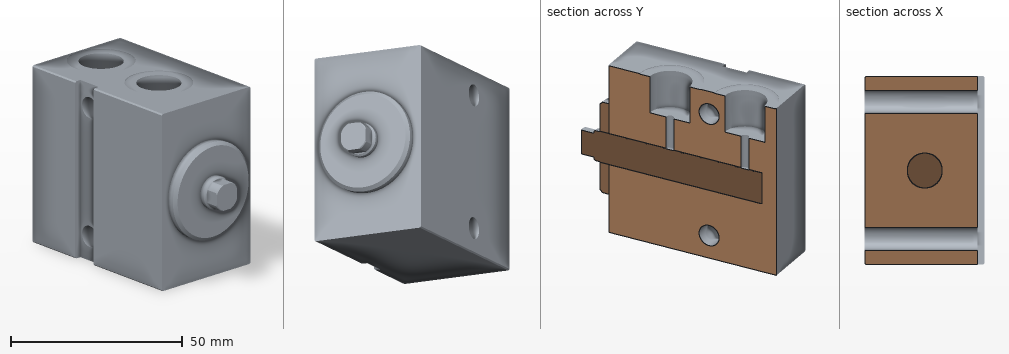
import cadquery as cq

OVERALL_LENGTH = 65.0
BLOCK_LENGTH = 55.95
BLOCK_WIDTH = 35.0
BLOCK_HEIGHT = 55.0
BLOCK_CHAMFER = 0.4

SLOT_CENTER_X = 22.5
SLOT_WIDTH = 8.0
SLOT_DEPTH = 2.0
MOUNT_HOLE_DIAMETER = 6.5
MOUNT_HOLE_SPACING = 40.0

FIRST_PORT_X = 10.5
PORT_SPACING = 24.95
SPOTFACE_DIAMETER = 20.0
SPOTFACE_DEPTH = 0.1
PORT_DIAMETER = 13.2
PORT_DEPTH = 12.0
OIL_HOLE_DIAMETER = 2.5

GLAND_DIAMETER = 29.95
GLAND_THICKNESS = 3.0
GLAND_CHAMFER = 1.0

ROD_DIAMETER = 10.0
ROD_CHAMFER = 0.5
ROD_PROJECTION = 2.0
ROD_START_X = 5.0
TIP_DIAMETER = ROD_DIAMETER - 2 * ROD_CHAMFER
TIP_ACROSS_FLATS = 8.0
TIP_CHAMFER = 0.25

GLAND_END_X = BLOCK_LENGTH + GLAND_THICKNESS
SHOULDER_X = GLAND_END_X + ROD_PROJECTION
TIP_LENGTH = OVERALL_LENGTH - SHOULDER_X


def cylinder_along_x(diameter, start_x, end_x):
    """Solid cylinder on the X axis between two X positions."""
    return cq.Workplane("YZ", origin=(start_x, 0, 0)).circle(diameter / 2).extrude(end_x - start_x)


def make_port(center_x):
    """Cutting shape of one port: spotface, threaded bore and oil hole down to the rod axis."""
    top_z = BLOCK_HEIGHT / 2
    steps = [
        (SPOTFACE_DIAMETER, SPOTFACE_DEPTH),
        (PORT_DIAMETER, PORT_DEPTH),
        (OIL_HOLE_DIAMETER, top_z),
    ]
    port = cq.Workplane("XY")
    for diameter, depth in steps:
        port = port.union(
            cq.Workplane("XY", origin=(center_x, 0, top_z)).circle(diameter / 2).extrude(-depth)
        )
    return port


def make_block():
    """Rectangular housing with a slot, mounting holes, ports and a blind rod bore."""
    block = (
        cq.Workplane("XY")
        .box(BLOCK_LENGTH, BLOCK_WIDTH, BLOCK_HEIGHT)
        .translate((BLOCK_LENGTH / 2, 0, 0))
        .edges("|X")
        .chamfer(BLOCK_CHAMFER)
    )

    slot = (
        cq.Workplane("XY")
        .box(SLOT_WIDTH, 2 * SLOT_DEPTH, BLOCK_HEIGHT)
        .translate((SLOT_CENTER_X, -BLOCK_WIDTH / 2, 0))
    )
    block = block.cut(slot)

    mount_holes = (
        cq.Workplane("XZ")
        .pushPoints([(SLOT_CENTER_X, side * MOUNT_HOLE_SPACING / 2) for side in (-1, 1)])
        .circle(MOUNT_HOLE_DIAMETER / 2)
        .extrude(BLOCK_WIDTH / 2, both=True)
    )
    block = block.cut(mount_holes)

    for center_x in (FIRST_PORT_X, FIRST_PORT_X + PORT_SPACING):
        block = block.cut(make_port(center_x))

    return block.cut(cylinder_along_x(ROD_DIAMETER, ROD_START_X, BLOCK_LENGTH))


def make_gland():
    """Round cover with a chamfered outer rim and a through bore for the rod."""
    disc = cylinder_along_x(GLAND_DIAMETER, BLOCK_LENGTH, GLAND_END_X)
    disc = disc.faces(">X").edges().chamfer(GLAND_CHAMFER)
    return disc.cut(cylinder_along_x(ROD_DIAMETER, BLOCK_LENGTH, GLAND_END_X))


def make_rod():
    """Rod with a chamfered shoulder, ending in a round tip with four wrench flats."""
    shaft = cylinder_along_x(ROD_DIAMETER, ROD_START_X, SHOULDER_X)
    shaft = shaft.faces(">X").edges().chamfer(ROD_CHAMFER)

    tip = cylinder_along_x(TIP_DIAMETER, SHOULDER_X, OVERALL_LENGTH)
    tip = tip.faces(">X").edges().chamfer(TIP_CHAMFER)
    flats = (
        cq.Workplane("YZ", origin=(SHOULDER_X, 0, 0))
        .rect(TIP_ACROSS_FLATS, TIP_ACROSS_FLATS)
        .extrude(TIP_LENGTH)
    )
    return shaft.union(tip.intersect(flats))


block = make_block()
gland = make_gland()
rod = make_rod()

result = cq.Compound.makeCompound([block.val(), gland.val(), rod.val()])